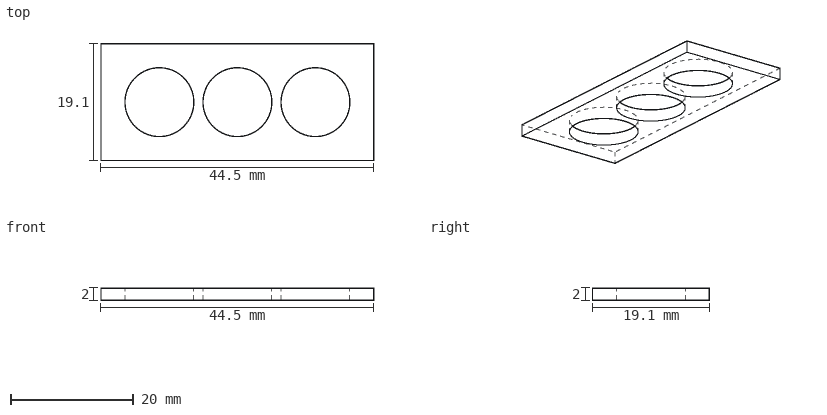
import cadquery as cq

plate_length = 44.45
plate_width = 19.05
plate_thickness = 2.0

hole_diameter = 11.18
hole_pitch = 12.7
hole_count = 3


def make_plate():
    """Flat rectangular plate centred on the Z axis, resting on Z = 0."""
    return cq.Workplane("XY").box(
        plate_length, plate_width, plate_thickness, centered=(True, True, False)
    )


def cut_hole_row(plate):
    """Cut the evenly spaced round holes along X through the plate."""
    return (
        plate.faces(">Z")
        .workplane()
        .rarray(hole_pitch, plate_width, hole_count, 1)
        .hole(hole_diameter)
    )


result = cut_hole_row(make_plate())